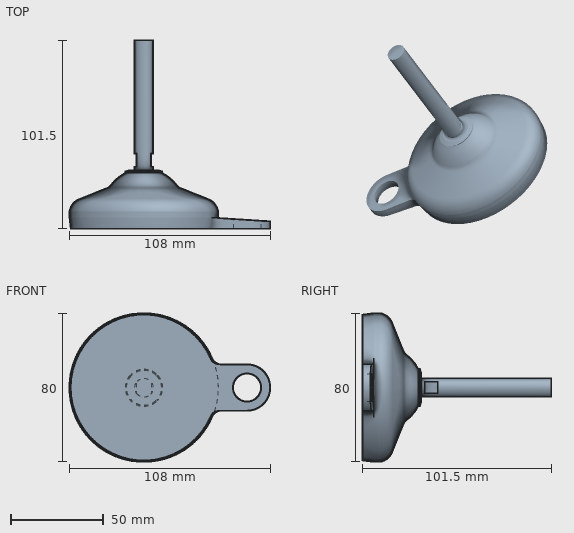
import cadquery as cq
import math


rim_radius = 40.0
floor_radius = 39.2
draft_height = 6.3
rim_height = 9.3

shoulder_radius = 34.7
shoulder_height = 16.0
cone_top_radius = 19.4
cone_top_height = 22.1
dome_radius = 22.0
dome_center_height = 10.4
dome_start_height = 23.4
dome_top_height = 30.1

lug_width = 25.0
lug_end_radius = lug_width / 2
lug_reach = 68.0
lug_center_x = lug_reach - lug_end_radius
lug_inner_x = 30.0
lug_hole_diameter = 15.0
lug_end_height = 4.15
lug_root_height = 5.95
lug_fillet_radius = 5.0

stem_radius = 5.0
stem_end_height = 101.5
collar_bottom_radius = 9.4
collar_edge_radius = 10.0
collar_edge_height = 30.9
collar_top_radius = 7.5
collar_top_height = 31.65
flat_distance = 8.0
flat_start_height = 33.5
flat_length = 7.0


def revolve_about_axis(profile):
    """Turn a closed profile (radius, height) once around the Y axis."""
    return profile.close().revolve(360, (0, 0, 0), (0, 1, 0))


def dome_radius_at(height):
    """Radius of the spherical dome at a height above the floor."""
    return math.sqrt(dome_radius**2 - (height - dome_center_height) ** 2)


def make_round_base():
    """Drafted rim, rounded shoulder, cone and dome, all turned about the axis."""
    dome_mid_height = (dome_start_height + dome_top_height) / 2
    profile = (
        cq.Workplane("XY")
        .moveTo(0, dome_top_height)
        .lineTo(dome_radius_at(dome_top_height), dome_top_height)
        .threePointArc(
            (dome_radius_at(dome_mid_height), dome_mid_height),
            (dome_radius_at(dome_start_height), dome_start_height),
        )
        .tangentArcPoint((cone_top_radius, cone_top_height), relative=False)
        .lineTo(shoulder_radius, shoulder_height)
        .tangentArcPoint((rim_radius, rim_height), relative=False)
        .lineTo(rim_radius, draft_height)
        .lineTo(floor_radius, 0)
        .lineTo(0, 0)
    )
    return revolve_about_axis(profile)


def make_lug():
    """Lug with parallel sides, a round end and a top face that falls towards the end."""
    slope = (lug_end_height - lug_root_height) / (lug_reach - rim_radius)
    inner_height = lug_root_height + slope * (lug_inner_x - rim_radius)
    tall_lug = (
        cq.Workplane("XZ")
        .moveTo(lug_inner_x, -lug_end_radius)
        .lineTo(lug_center_x, -lug_end_radius)
        .threePointArc((lug_reach, 0), (lug_center_x, lug_end_radius))
        .lineTo(lug_inner_x, lug_end_radius)
        .close()
        .extrude(-draft_height)
    )
    side_profile = (
        cq.Workplane("XY")
        .moveTo(lug_inner_x, 0)
        .lineTo(lug_reach, 0)
        .lineTo(lug_reach, lug_end_height)
        .lineTo(lug_inner_x, inner_height)
        .close()
        .extrude(lug_width, both=True)
    )
    return tall_lug.intersect(side_profile)


def make_base():
    """Round base joined to its lug, with filleted lug roots and the lug hole."""
    base = make_round_base().union(make_lug())
    lug_root = cq.selectors.BoxSelector(
        (lug_inner_x, lug_root_height / 4, -lug_width),
        (rim_radius, lug_root_height * 3 / 4, lug_width),
    )
    base = base.edges(lug_root).fillet(lug_fillet_radius)
    lug_hole = (
        cq.Workplane("XZ")
        .center(lug_center_x, 0)
        .circle(lug_hole_diameter / 2)
        .extrude(-draft_height)
    )
    return base.cut(lug_hole)


def make_stem():
    """Stem with a sharp-edged collar resting on the dome and two wrench flats."""
    profile = (
        cq.Workplane("XY")
        .moveTo(0, dome_top_height)
        .lineTo(collar_bottom_radius, dome_top_height)
        .lineTo(collar_edge_radius, collar_edge_height)
        .lineTo(collar_top_radius, collar_top_height)
        .lineTo(stem_radius, collar_top_height)
        .lineTo(stem_radius, stem_end_height)
        .lineTo(0, stem_end_height)
    )
    stem = revolve_about_axis(profile)
    flat_offset = (flat_distance + stem_radius) / 2
    flat_center_height = flat_start_height + flat_length / 2
    for side in (-1, 1):
        flat_cutter = cq.Workplane("XY").box(stem_radius, flat_length, 2 * stem_radius)
        stem = stem.cut(flat_cutter.translate((side * flat_offset, flat_center_height, 0)))
    return stem


base = make_base()
stem = make_stem()
result = cq.Compound.makeCompound([base.solids().val(), stem.solids().val()])